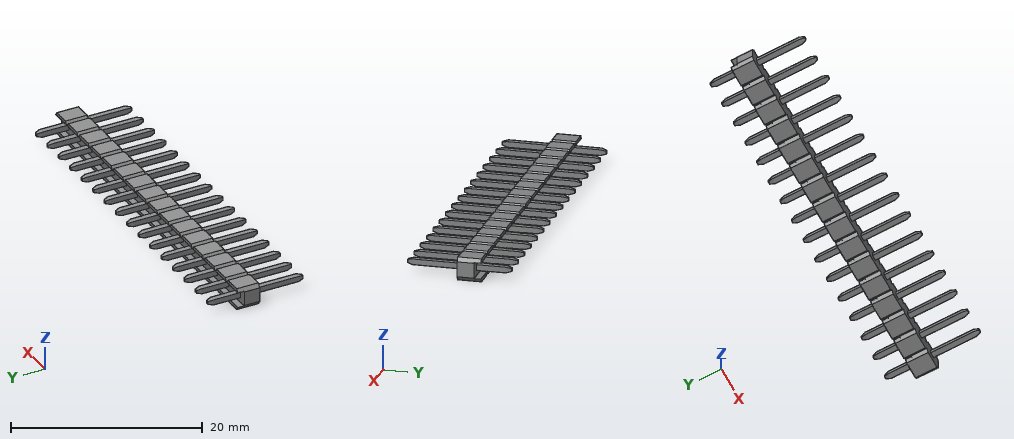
import cadquery as cq


length = 40.65
pin_count = 16
pitch = length / pin_count

height = pitch
depth = 2.55
bevel_x = 0.305
bevel_z = 0.45

channel_depth = 0.75
lip_thickness = 0.385

pin_size = pitch / 4
pin_length = 11.2
pin_front_length = 5.65
pin_offset = -0.1
tip_size = 0.33
tip_length = 0.55


def cell_center(index):
    return (index - (pin_count - 1) / 2) * pitch


def make_cell(center_x):
    """One octagonal cell of the bar, extruded from the front face to the rear."""
    half_width = pitch / 2
    half_height = height / 2
    outline = [
        (-half_width, -half_height + bevel_z),
        (-half_width + bevel_x, -half_height),
        (half_width - bevel_x, -half_height),
        (half_width, -half_height + bevel_z),
        (half_width, half_height - bevel_z),
        (half_width - bevel_x, half_height),
        (-half_width + bevel_x, half_height),
        (-half_width, half_height - bevel_z),
    ]
    return cq.Workplane("XZ", origin=(center_x, 0, 0)).polyline(outline).close().extrude(-depth)


def make_bar():
    bar = make_cell(cell_center(0))
    for index in range(1, pin_count):
        bar = bar.union(make_cell(cell_center(index)))
    channel = (
        cq.Workplane("XY")
        .box(length, channel_depth, height - 2 * lip_thickness)
        .translate((0, depth - channel_depth / 2, 0))
    )
    return bar.cut(channel)


def make_pin(center_x):
    """Square pin with a tapered tip at each end."""
    front_end = -pin_front_length
    rear_end = front_end + pin_length

    def tip(end_y):
        taper_offset = tip_length if end_y > 0 else -tip_length
        return (
            cq.Workplane("XZ", origin=(center_x, end_y, 0))
            .rect(tip_size, tip_size)
            .workplane(offset=taper_offset)
            .rect(pin_size, pin_size)
            .loft(ruled=True)
        )

    shank = (
        cq.Workplane("XY")
        .box(pin_size, pin_length - 2 * tip_length, pin_size)
        .translate((center_x, (front_end + rear_end) / 2, 0))
    )
    return shank.union(tip(front_end)).union(tip(rear_end))


result = make_bar()
for cell in range(pin_count):
    result = result.union(make_pin(cell_center(cell) + pin_offset))